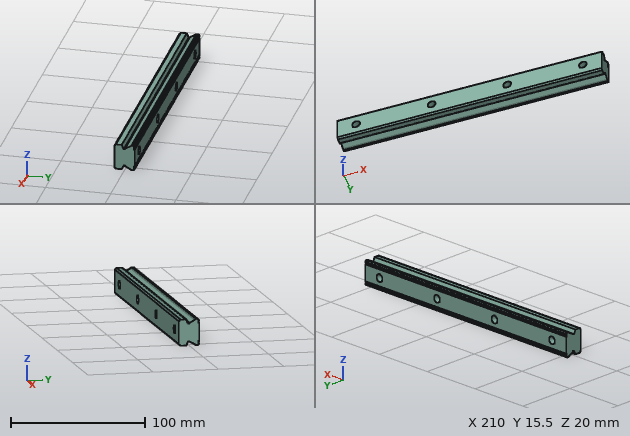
import cadquery as cq

length = 210.0
depth = 15.5
height = 20.0

base_chamfer = 1.3
head_chamfer = 1.0

base_land_end = 5.7
relief_start = 7.0
relief_end = 8.2
ramp_end = 12.0
head_land_start = 13.0
relief_mouth_height = 7.1
relief_floor_height = 6.7
relief_floor_width = 0.6
ramp_end_height = 9.2

head_groove_depth = 0.6
head_groove_inner = 7.0
head_groove_outer = 8.6

hole_diameter = 6.0
hole_count = 4
hole_pitch = 60.0


def half_outline():
    """Return one side of the section as (distance from base, height) points, base to head."""
    half_height = height / 2
    relief_middle = (relief_start + relief_end) / 2
    return [
        (0, half_height - base_chamfer),
        (base_chamfer, half_height),
        (base_land_end, half_height),
        (relief_start, relief_mouth_height),
        (relief_middle - relief_floor_width / 2, relief_floor_height),
        (relief_middle + relief_floor_width / 2, relief_floor_height),
        (relief_end, relief_mouth_height),
        (ramp_end, ramp_end_height),
        (head_land_start, half_height),
        (depth - head_chamfer, half_height),
        (depth, half_height - head_chamfer),
        (depth, head_groove_outer),
        (depth - head_groove_depth, head_groove_outer),
        (depth - head_groove_depth, head_groove_inner),
        (depth, head_groove_inner),
    ]


def make_rail():
    """Extrude the mirrored section along X, centred on the origin."""
    upper = [(distance - depth / 2, z) for distance, z in half_outline()]
    lower = [(y, -z) for y, z in reversed(upper)]
    return cq.Workplane("YZ").polyline(upper + lower).close().extrude(length / 2, both=True)


def make_holes():
    """Make the row of plain holes that pass through from base to head."""
    return (
        cq.Workplane("XZ")
        .rarray(hole_pitch, 2, hole_count, 1)
        .circle(hole_diameter / 2)
        .extrude(depth, both=True)
    )


result = make_rail().cut(make_holes())